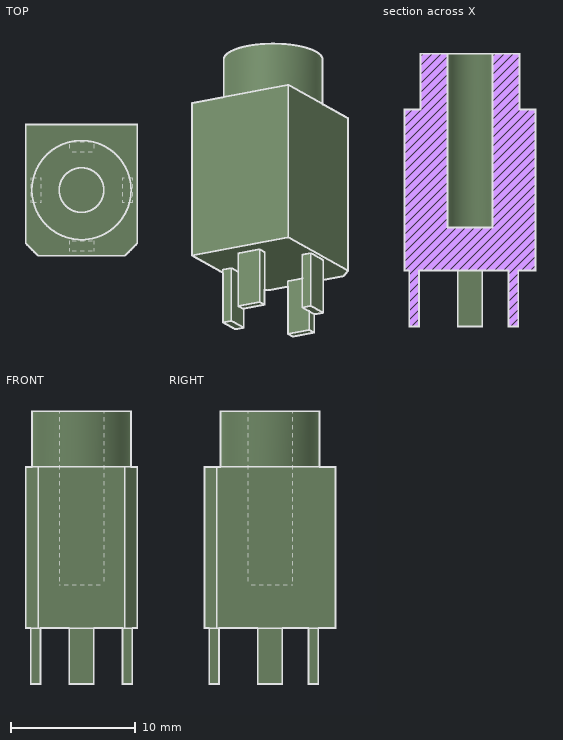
import cadquery as cq

body_width = 9.0
body_depth = 10.6
body_height = 13.0
corner_chamfer = 1.0

collar_diameter = 8.0
collar_height = 4.5
socket_diameter = 3.6
top_z = body_height + collar_height
socket_depth = 14.0

pin_width = 2.0
pin_thickness = 0.8
pin_length = 4.5
side_pin_offset = 3.7
back_pin_y = 3.5
front_pin_y = -4.5


def make_body():
    """Block with its two front (-Y) vertical edges chamfered."""
    block = cq.Workplane("XY").box(
        body_width, body_depth, body_height, centered=(True, True, False)
    )
    return block.faces("<Y").edges("|Z").chamfer(corner_chamfer)


def make_collar():
    """Cylindrical collar standing on the top of the body."""
    return (
        cq.Workplane("XY", origin=(0, 0, body_height))
        .circle(collar_diameter / 2)
        .extrude(collar_height)
    )


def make_socket():
    """Blind round bore running down from the top of the collar."""
    return (
        cq.Workplane("XY", origin=(0, 0, top_z))
        .circle(socket_diameter / 2)
        .extrude(-socket_depth)
    )


def make_pin(x, y, size_x, size_y):
    """Rectangular pin hanging from the bottom of the body at (x, y)."""
    return (
        cq.Workplane("XY")
        .center(x, y)
        .rect(size_x, size_y)
        .extrude(-pin_length)
    )


result = make_body().union(make_collar()).cut(make_socket())

for side_x in (-side_pin_offset, side_pin_offset):
    result = result.union(make_pin(side_x, 0, pin_thickness, pin_width))

for pin_y in (front_pin_y, back_pin_y):
    result = result.union(make_pin(0, pin_y, pin_width, pin_thickness))